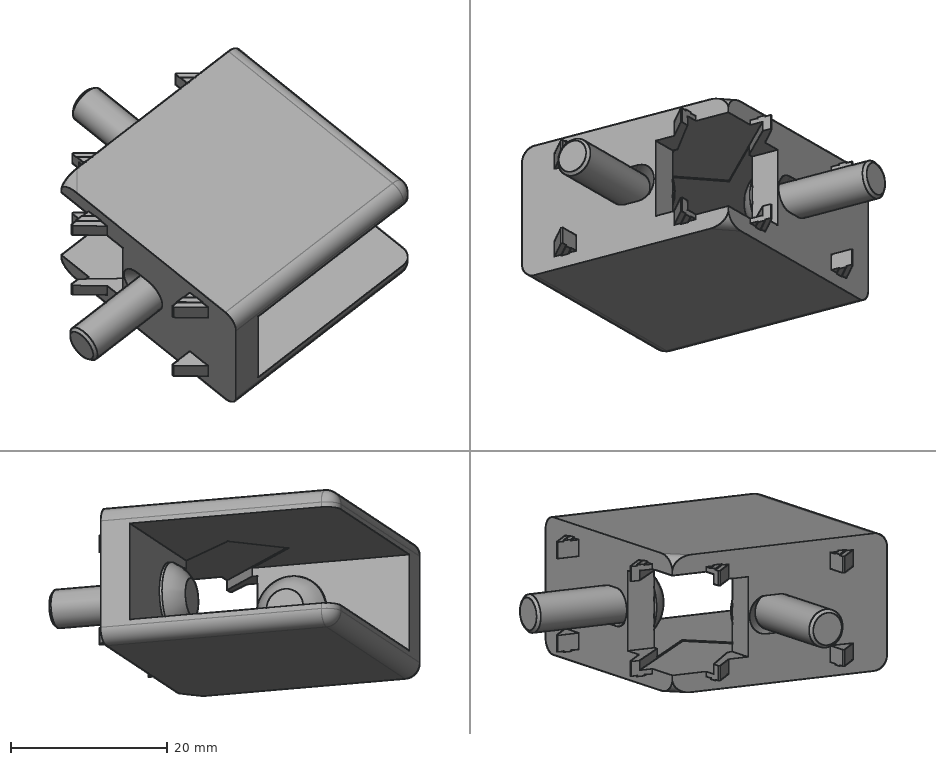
import cadquery as cq
import math

OVERALL = 44.0
SCREW_REACH = 12.0
SIDE = OVERALL - SCREW_REACH
HEIGHT = 18.0
HALF_HEIGHT = HEIGHT / 2
EDGE_RADIUS = 2.0

WALL = 3.95
CAVITY_HALF_HEIGHT = 6.35

WINDOW_END = 11.25
WINDOW_HALF_HEIGHT = 5.25

CHANNEL_HALF_WIDTH = 4.95
CHANNEL_HALF_HEIGHT = 6.5
CHANNEL_LENGTH = 22.0
CHANNEL_DRAFT = 1.7

HOOK_START = 5.0
HOOK_PITCH = 18.52
HOOK_REACH = 3.12
HOOK_TIP = 0.25
HOOK_BLADE = 1.05
RIB_WIDTH = 1.15
HOOK_LOW = 5.0
HOOK_HIGH = 7.15
RIB_RISE = 0.15

SHANK_DIAMETER = 5.0
HEAD_DIAMETER = 9.5
HEAD_HEIGHT = 2.75
HEAD_RIM = 0.35
HEAD_FLAT_DIAMETER = 5.0
HEAD_BULGE = 0.25
TIP_CHAMFER = 0.4
SCREW_X = SIDE / 2
SLOT_TRAVEL = 2.0

DIAGONAL_NORMAL = cq.Vector(1, -1, 0)


def swap_x_and_y(body):
    """Copy of a body reflected in the plane X = Y."""
    return body.mirror(DIAGONAL_NORMAL)


def centred_block(x_min, x_max, y_min, y_max, half_height):
    """Block between the given X and Y limits, centred on Z = 0."""
    return (
        cq.Workplane("XY", origin=(x_min, y_min, -half_height))
        .box(x_max - x_min, y_max - y_min, 2 * half_height, centered=False)
    )


def make_shell():
    """Two plates joined by the -X and -Y walls, rounded on the +X and +Y edges."""
    block = centred_block(0, SIDE, 0, SIDE, HALF_HEIGHT)
    block = block.faces(">X or >Y").edges("#Z or (>X and >Y)").fillet(EDGE_RADIUS)
    cavity = centred_block(WALL, SIDE, WALL, SIDE, CAVITY_HALF_HEIGHT)
    return block.cut(cavity)


def hook_prism(outline, top):
    """Outline raised from the underside of an upper hook to the given height."""
    return cq.Workplane("XY", origin=(0, 0, HOOK_LOW)).polyline(outline).close().extrude(top - HOOK_LOW)


def make_hook(x_start):
    """Upper hook of the -Y wall: a wedge with a low rib on top, parallel to its 45 degree face."""
    wedge_outline = [
        (x_start, 0),
        (x_start, -HOOK_REACH),
        (x_start + HOOK_TIP, -HOOK_REACH),
        (x_start + HOOK_TIP + HOOK_REACH, 0),
    ]
    rib_outer = HOOK_REACH + HOOK_TIP - HOOK_BLADE
    rib_inner = rib_outer - RIB_WIDTH
    rib_outline = [
        (x_start, -rib_inner),
        (x_start, -rib_outer),
        (x_start + rib_outer, 0),
        (x_start + rib_inner, 0),
    ]
    return hook_prism(wedge_outline, HOOK_HIGH).union(hook_prism(rib_outline, HOOK_HIGH + RIB_RISE))


def add_hooks(body):
    """Four hooks on each wall, in upper and lower pairs."""
    for x_start in (HOOK_START, HOOK_START + HOOK_PITCH):
        upper = make_hook(x_start)
        for hook in (upper, upper.mirror("XY")):
            body = body.union(hook).union(swap_x_and_y(hook))
    return body


def make_window():
    """Opening in the -Y wall, reaching out far enough to trim the hooks beside it."""
    return centred_block(0, WINDOW_END, -HOOK_REACH, WALL, WINDOW_HALF_HEIGHT)


def make_slot():
    """Straight screw hole in the -Y wall, widened toward the corner by a 45 degree run-in."""
    radius = SHANK_DIAMETER / 2
    hole = cq.Workplane("XZ", origin=(SCREW_X, 0, 0)).circle(radius).extrude(-WALL)
    mouth_x = SCREW_X - SLOT_TRAVEL
    mouth = cq.Wire.makeCircle(radius, cq.Vector(mouth_x, 0, 0), cq.Vector(0, 1, 0))
    run_in = cq.Solid.extrudeLinear(mouth, [], cq.Vector(SLOT_TRAVEL, SLOT_TRAVEL, 0))
    infill = (
        cq.Workplane("XY", origin=(0, 0, -radius))
        .polyline([(mouth_x, 0), (SCREW_X, 0), (SCREW_X, SLOT_TRAVEL)])
        .close()
        .extrude(SHANK_DIAMETER)
    )
    return hole.union(infill).union(cq.Workplane(run_in))


def make_channel():
    """Tapered channel along the diagonal, open at the corner."""
    inner_half_width = CHANNEL_HALF_WIDTH - CHANNEL_LENGTH * math.tan(math.radians(CHANNEL_DRAFT))
    outline = [
        (0, -CHANNEL_HALF_WIDTH),
        (CHANNEL_LENGTH, -inner_half_width),
        (CHANNEL_LENGTH, inner_half_width),
        (0, CHANNEL_HALF_WIDTH),
    ]
    floor = cq.Plane(origin=(0, 0, -CHANNEL_HALF_HEIGHT), xDir=(1, 1, 0), normal=(0, 0, 1))
    return cq.Workplane(floor).polyline(outline).close().extrude(2 * CHANNEL_HALF_HEIGHT)


def make_corner_round():
    """Material to remove so that the top plate curves down to its corner tip."""
    drop = EDGE_RADIUS * math.sqrt(0.5)
    section = cq.Plane(origin=(0, 0, 0), xDir=(1, 1, 0), normal=(1, -1, 0))
    return (
        cq.Workplane(section)
        .moveTo(0, HALF_HEIGHT - EDGE_RADIUS)
        .threePointArc(
            (EDGE_RADIUS - drop, HALF_HEIGHT - EDGE_RADIUS + drop),
            (EDGE_RADIUS, HALF_HEIGHT),
        )
        .lineTo(0, HALF_HEIGHT)
        .close()
        .extrude(EDGE_RADIUS, both=True)
    )


def make_housing():
    """Housing with its hooks, windows, slots, corner channel and rounded corner tips."""
    body = add_hooks(make_shell())
    for opening in (make_window(), make_slot()):
        body = body.cut(opening).cut(swap_x_and_y(opening))
    body = body.cut(make_channel())
    corner_round = make_corner_round()
    return body.cut(corner_round).cut(corner_round.mirror("XY"))


def make_screw():
    """Screw through the -Y wall, its domed head seated on the inner wall face."""
    shank_radius = SHANK_DIAMETER / 2
    head_radius = HEAD_DIAMETER / 2
    flat_radius = HEAD_FLAT_DIAMETER / 2
    rim_y = WALL + HEAD_RIM
    head_top = WALL + HEAD_HEIGHT
    dome_run = math.hypot(head_radius - flat_radius, head_top - rim_y)
    dome_middle = (
        (head_radius + flat_radius) / 2 + HEAD_BULGE * (head_top - rim_y) / dome_run,
        (rim_y + head_top) / 2 + HEAD_BULGE * (head_radius - flat_radius) / dome_run,
    )
    return (
        cq.Workplane("XY", origin=(SCREW_X, 0, 0))
        .moveTo(0, -SCREW_REACH)
        .lineTo(shank_radius - TIP_CHAMFER, -SCREW_REACH)
        .lineTo(shank_radius, -SCREW_REACH + TIP_CHAMFER)
        .lineTo(shank_radius, WALL)
        .lineTo(head_radius, WALL)
        .lineTo(head_radius, rim_y)
        .threePointArc(dome_middle, (flat_radius, head_top))
        .lineTo(0, head_top)
        .close()
        .revolve(360, (0, 0, 0), (0, 1, 0))
    )


housing = make_housing()
front_screw = make_screw()
screws = [front_screw, swap_x_and_y(front_screw)]

result = cq.Compound.makeCompound([housing.val(), *[screw.val() for screw in screws]])